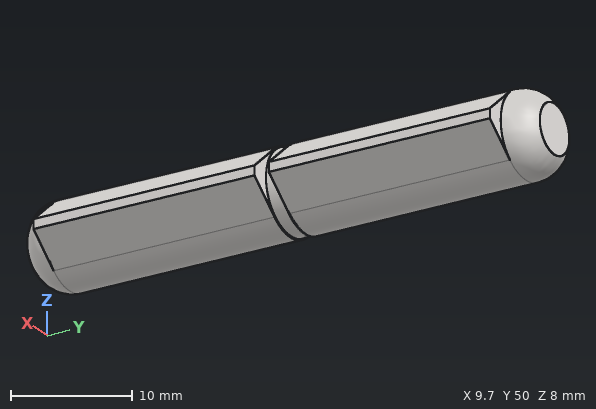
import cadquery as cq
import math

length = 50.0
barrel_diameter = 8.0
barrel_radius = barrel_diameter / 2

cap_length = 2.75
cap_flat_diameter = 4.6
cap_flat_radius = cap_flat_diameter / 2

washer_diameter = 7.8
washer_thickness = 1.4

lip_reach = 5.7
lip_tip_height = 0.9

half_length = length / 2
cap_start = half_length - cap_length
washer_face = washer_thickness / 2


def lip_tangent_point():
    """Point (x, z) where the upper lip flank leaves the barrel tangentially."""
    tip_half = lip_tip_height / 2
    tip_distance = math.hypot(lip_reach, tip_half)
    angle = math.atan2(tip_half, lip_reach) + math.acos(barrel_radius / tip_distance)
    return barrel_radius * math.cos(angle), barrel_radius * math.sin(angle)


def hinge_half():
    """The +Y half: barrel with its lip, and a rounded cap on the outer end."""
    body = (
        cq.Workplane("XY")
        .moveTo(0, washer_face)
        .lineTo(barrel_radius, washer_face)
        .lineTo(barrel_radius, cap_start)
        .tangentArcPoint((cap_flat_radius, half_length), relative=False)
        .lineTo(0, half_length)
        .close()
        .revolve(360, (0, 0, 0), (0, 1, 0))
    )
    tangent_x, tangent_z = lip_tangent_point()
    tip_half = lip_tip_height / 2
    lip = (
        cq.Workplane("XZ", origin=(0, washer_face, 0))
        .polyline([
            (0, 0),
            (tangent_x, tangent_z),
            (lip_reach, tip_half),
            (lip_reach, -tip_half),
            (tangent_x, -tangent_z),
        ])
        .close()
        .extrude(washer_face - cap_start)
    )
    return body.union(lip)


def washer():
    return (
        cq.Workplane("XZ", origin=(0, washer_face, 0))
        .circle(washer_diameter / 2)
        .extrude(washer_thickness)
    )


rear_half = hinge_half()
front_half = rear_half.mirror("XZ")
result = washer().union(rear_half).union(front_half)